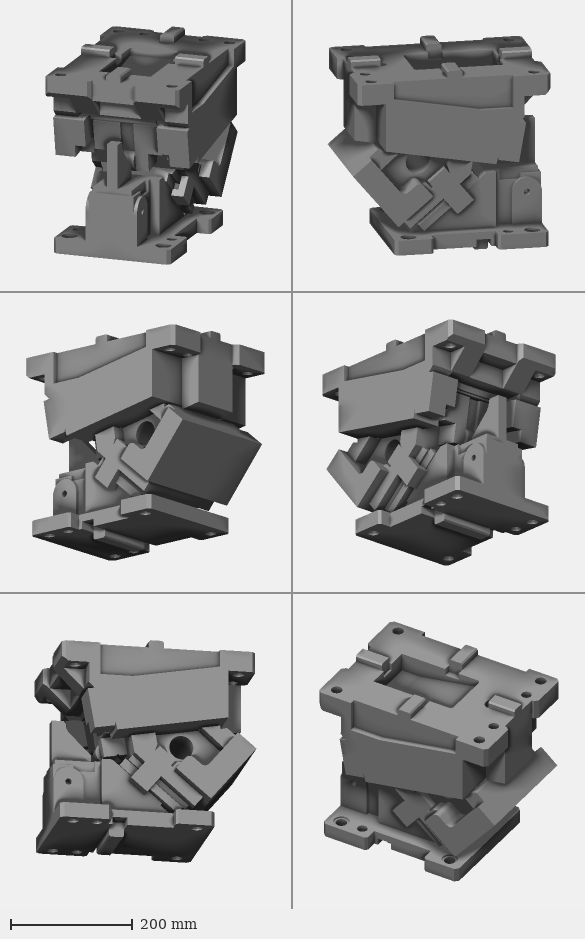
import cadquery as cq
import math


CHAMFER = 6.0
KEY_WIDTH = 25.0
KEY_SINK = KEY_WIDTH / 2
KEY_CHAMFER = 2.5
MOUNT_DIAMETER = 19.0
DOWEL_DIAMETER = 17.5

RAIL_ANGLE = math.radians(40)
RAIL_TOP_Y = 96.0
BLOCK_TOP = 119.0

PAD_ANGLE = math.radians(10)
PAD_BACK_Y = 278.0
PAD_BACK_Z = 183.5


def on_rail(u, v):
    """(y, z) of a point given along and off the rail seat."""
    y = RAIL_TOP_Y - u * math.cos(RAIL_ANGLE) + v * math.sin(RAIL_ANGLE)
    z = BLOCK_TOP + u * math.sin(RAIL_ANGLE) + v * math.cos(RAIL_ANGLE)
    return (y, z)


def on_pad(t, m):
    """(y, z) of a point given along and off the pad underside."""
    y = PAD_BACK_Y - t * math.cos(PAD_ANGLE) - m * math.sin(PAD_ANGLE)
    z = PAD_BACK_Z - t * math.sin(PAD_ANGLE) + m * math.cos(PAD_ANGLE)
    return (y, z)


def box(x_range, y_range, z_range):
    sizes = [high - low for low, high in (x_range, y_range, z_range)]
    return cq.Workplane("XY").box(*sizes, centered=False).translate((x_range[0], y_range[0], z_range[0]))


def side_prism(outline, half_width):
    """A (y, z) outline extruded to both sides of the middle plane."""
    return cq.Workplane("YZ").polyline(outline).close().extrude(half_width, both=True)


def side_pair(outline, inner, outer):
    """Two mirrored prisms of a (y, z) outline between two distances from the middle plane."""
    return side_prism(outline, outer).cut(side_prism(outline, inner))


def rail_box(u_range, v_range):
    """Corners of a rectangle in the rail frame."""
    (low_u, top_u), (low_v, top_v) = u_range, v_range
    return [on_rail(low_u, low_v), on_rail(top_u, low_v), on_rail(top_u, top_v), on_rail(low_u, top_v)]


def pad_box(t_range, m_range):
    """Corners of a rectangle in the pad frame."""
    (back_t, front_t), (low_m, top_m) = t_range, m_range
    return [on_pad(back_t, low_m), on_pad(front_t, low_m), on_pad(front_t, top_m), on_pad(back_t, top_m)]


def rail_bar(section, low_u, top_u):
    """An (x, v) section extruded along the rail."""
    y, z = on_rail(low_u, 0)
    uphill = (0, -math.cos(RAIL_ANGLE), math.sin(RAIL_ANGLE))
    plane = cq.Plane(origin=(0, y, z), xDir=(1, 0, 0), normal=uphill)
    return cq.Workplane(plane).polyline(section).close().extrude(top_u - low_u)


def upright_holes(points, diameter, z_range):
    floor = cq.Workplane("XY", origin=(0, 0, z_range[0]))
    return floor.pushPoints(points).circle(diameter / 2).extrude(z_range[1] - z_range[0])


BASE_HALF = 102.3
BASE_LENGTH = 259.0
BASE_THICK = 25.0
NOTCH_DEPTH = 24.0
NOTCH_Y = (85.2, 193.8)
NOTCH_CHAMFER = 4.0
BASE_HOLE_X = 82.3
BASE_HOLE_Y = (24.5, 232.3)
BASE_DOWEL_Y = 64.8
COUNTERBORE = 26.5
COUNTERBORE_DEPTH = 2.5
BASE_KEY_HALF = 49.7
BASE_KEY_Y = 91.8

BLOCK_HALF = 55.0
BLOCK_FRONT_Y = 79.3
NECK_HALF = 39.0
LEDGE_Z = 110.0
STEP_Z = 100.0
STEP_Y = (35.0, 69.8)
LUG_HALF = 45.0
LUG_RADIUS = 25.0
LUG_Z = 79.3
LUG_HOLE = 10.5
LUG_HOLE_DEPTH = 16.5
SEAT_HALF = 34.2
SEAT_FRONT_Y = 4.3
RIB_HALF = 9.2
RIB_TOP = 194.5
RIB_CREST_Y = 25.0
RIB_CREST_EDGE = (27.5, 190.0)
RIB_HOLLOW = (29.3, 181.5)
RIB_SLOPE_TOP = (33.2, 174.7)
RIB_SLOPE_LOW_Z = 139.2

RAIL_TOP_U = -15.0
RAIL_LOW_U = -139.5
RAIL_HALF = 57.2
RAIL_FLANGE_HALF = 67.5
RAIL_FLANGE_TOP_U = -55.0
RAIL_APEX = 30.3
RAIL_EAVE = 13.5
TOE_HEIGHT = 9.2
RELIEF_HEIGHT = 5.0
RELIEF_TOP_U = -110.0
RELIEF_HALF = 41.8


def base_plate():
    plate = box((-BASE_HALF, BASE_HALF), (0, BASE_LENGTH), (0, BASE_THICK))
    plate = plate.edges("|Z").chamfer(CHAMFER)
    for side in (-1, 1):
        edge = side * BASE_HALF
        inner = side * (BASE_HALF - NOTCH_DEPTH)
        lip = side * (BASE_HALF - NOTCH_CHAMFER)
        outline = [
            (edge, NOTCH_Y[0] - NOTCH_CHAMFER),
            (lip, NOTCH_Y[0]),
            (inner, NOTCH_Y[0]),
            (inner, NOTCH_Y[1]),
            (lip, NOTCH_Y[1]),
            (edge, NOTCH_Y[1] + NOTCH_CHAMFER),
        ]
        plate = plate.cut(cq.Workplane("XY").polyline(outline).close().extrude(BASE_THICK))
    mounts = [(side * BASE_HOLE_X, y) for side in (-1, 1) for y in BASE_HOLE_Y]
    dowels = [(side * BASE_HOLE_X, BASE_DOWEL_Y) for side in (-1, 1)]
    plate = plate.cut(upright_holes(mounts, MOUNT_DIAMETER, (0, BASE_THICK)))
    plate = plate.cut(upright_holes(mounts, COUNTERBORE, (BASE_THICK - COUNTERBORE_DEPTH, BASE_THICK)))
    return plate.cut(upright_holes(dowels, DOWEL_DIAMETER, (0, BASE_THICK)))


def base_key(plate):
    """Keyway across the underside with the key standing out of it."""
    key_y = (BASE_KEY_Y, BASE_KEY_Y + KEY_WIDTH)
    keyway = box((-BASE_HALF, BASE_HALF), key_y, (0, KEY_SINK))
    key = box((-BASE_KEY_HALF, BASE_KEY_HALF), key_y, (-KEY_SINK, KEY_SINK))
    key = key.faces("<Z").edges("|X").chamfer(KEY_CHAMFER)
    return plate.cut(keyway).union(key)


def front_neck():
    """Narrow front part with its ledges and the two round-topped lugs."""
    neck = box((-NECK_HALF, NECK_HALF), (0, BLOCK_FRONT_Y), (BASE_THICK, BLOCK_TOP))
    neck = neck.cut(box((-NECK_HALF, NECK_HALF), (0, SEAT_FRONT_Y), (LEDGE_Z, BLOCK_TOP)))
    for side in (-1, 1):
        span = tuple(sorted((side * SEAT_HALF, side * NECK_HALF)))
        neck = neck.cut(box(span, (0, STEP_Y[1]), (LEDGE_Z, BLOCK_TOP)))
        neck = neck.cut(box(span, STEP_Y, (STEP_Z, BLOCK_TOP)))
    lug = (
        cq.Workplane("YZ")
        .moveTo(0, BASE_THICK)
        .lineTo(0, LUG_Z)
        .threePointArc((LUG_RADIUS, LUG_Z + LUG_RADIUS), (2 * LUG_RADIUS, LUG_Z))
        .lineTo(2 * LUG_RADIUS, BASE_THICK)
        .close()
        .extrude(LUG_HALF, both=True)
    )
    neck = neck.union(lug)
    for side in (-1, 1):
        mouth = cq.Vector(side * LUG_HALF, LUG_RADIUS, LUG_Z)
        inward = cq.Vector(-side, 0, 0)
        bore = cq.Solid.makeCylinder(LUG_HOLE / 2, LUG_HOLE_DEPTH, mouth, inward)
        tip = cq.Solid.makeCone(LUG_HOLE / 2, 0, LUG_HOLE / 2, mouth + inward * LUG_HOLE_DEPTH, inward)
        neck = neck.cut(bore.fuse(tip))
    return neck


def driver_rib():
    """Central upright whose back edge guides the slide's roller."""
    return (
        cq.Workplane("YZ")
        .moveTo(SEAT_FRONT_Y, STEP_Z)
        .lineTo(SEAT_FRONT_Y, RIB_TOP)
        .lineTo(RIB_CREST_Y, RIB_TOP)
        .lineTo(*RIB_CREST_EDGE)
        .threePointArc(RIB_HOLLOW, RIB_SLOPE_TOP)
        .lineTo(STEP_Y[1], RIB_SLOPE_LOW_Z)
        .lineTo(STEP_Y[1], STEP_Z)
        .close()
        .extrude(RIB_HALF, both=True)
    )


def inclined_block():
    outline = [
        (BLOCK_FRONT_Y, BASE_THICK),
        (BLOCK_FRONT_Y, BLOCK_TOP),
        on_rail(0, 0),
        on_rail(RAIL_LOW_U, 0),
        on_rail(RAIL_LOW_U, TOE_HEIGHT),
    ]
    drop = outline[-1][1] - BASE_THICK
    outline.append((outline[-1][0] + drop / math.tan(RAIL_ANGLE), BASE_THICK))
    return side_prism(outline, BLOCK_HALF)


def ridge(half_width, low_u, top_u):
    """Roof-shaped bar standing on the rail seat; every width shares the same roof."""
    edge = RAIL_APEX - (RAIL_APEX - RAIL_EAVE) * half_width / RAIL_FLANGE_HALF
    outline = [(-half_width, 0), (half_width, 0), (half_width, edge), (0, RAIL_APEX), (-half_width, edge)]
    return rail_bar(outline, low_u, top_u)


def make_base():
    body = base_key(base_plate())
    body = body.union(inclined_block()).union(front_neck()).union(driver_rib())
    body = body.union(ridge(RAIL_HALF, RAIL_LOW_U, RAIL_TOP_U))
    body = body.union(ridge(RAIL_FLANGE_HALF, RAIL_LOW_U, RAIL_FLANGE_TOP_U))
    relief = rail_box((RAIL_LOW_U, RELIEF_TOP_U), (-RELIEF_HEIGHT, 0))
    return body.cut(side_pair(relief, RELIEF_HALF, BLOCK_HALF))


SLIDE_HALF = 81.3
SLIDE_GAP = 2.0
SLIDE_FRONT_T = 158.0
SLIDE_FRONT_M = -31.3
SLIDE_BACK_T = 6.5
SLIDE_BACK_U = -106.3
SLIDE_BACK_STEP = (272.5, 174.0)
SLIDE_UNDER_V = 24.0
SLIDE_LOW_U = -153.3
LIP_V = 16.0
LIP_LOW_U = -144.5
LIP_TOP_U = -20.5
LIP_HALF_TOP = 65.5
LIP_HALF_LOW = 61.2

FLANGE_HALF = 99.7
FLANGE_LOW_U = -165.8
FLANGE_TOP_V = 165.0
FLANGE_UNDER_V = 46.0
FLANGE_STEP_U = -125.0
FLANGE_END_U = -89.5
FLANGE_STEP_V = 80.3
FLANGE_FILLET = 10.0

RECESS_HALF = 57.5
RECESS_V = (50.5, 134.5)
RECESS_T = (39.5, 117.0)
RECESS_LOW_M = -21.7
RECESS_STEP_U = -83.2
RECESS_STEP_V = 61.2
RECESS_END_V = 68.5
CROSS_HOLE = 40.0
CROSS_HOLE_Y = 211.5
CROSS_HOLE_Z = 145.8

CLAMP_U = (-79.5, -44.0)
CLAMP_V = (-12.0, 63.2)
CLAMP_ARM_INNER = 69.5
CLAMP_FOOT_INNER = 59.5

CHANNEL_HALF = 63.5
CHANNEL_TOP_M = 65.8
TONGUE_HALF = 59.0
TONGUE_TOP_M = 63.0
NOSE_T = 197.7
NOSE_HALF = 34.0
NOSE_SHOULDER_M = 12.0
NOSE_UNDER_M = -20.5
NOSE_SLOT_HALF = 11.5
NOSE_SLOT_DEPTH = 6.5
ROLLER_T = 186.2
ROLLER_M = -6.5
ROLLER_RADIUS = 18.5
ROLLER_HALF = 10.5


def slide_block():
    outline = [
        on_rail(SLIDE_LOW_U, SLIDE_UNDER_V),
        on_rail(SLIDE_LOW_U, FLANGE_UNDER_V),
        on_rail(FLANGE_STEP_U, FLANGE_TOP_V),
        on_rail(SLIDE_BACK_U, FLANGE_TOP_V),
        SLIDE_BACK_STEP,
        on_pad(SLIDE_BACK_T, -SLIDE_GAP),
        on_pad(SLIDE_FRONT_T, -SLIDE_GAP),
        on_pad(SLIDE_FRONT_T, SLIDE_FRONT_M),
    ]
    return side_prism(outline, SLIDE_HALF)


def rail_skirt():
    """Tapered skirt that reaches down over the rail roof."""
    section = [
        (-LIP_HALF_LOW, LIP_V),
        (LIP_HALF_LOW, LIP_V),
        (LIP_HALF_TOP, SLIDE_UNDER_V),
        (LIP_HALF_TOP, RAIL_APEX),
        (-LIP_HALF_TOP, RAIL_APEX),
        (-LIP_HALF_TOP, SLIDE_UNDER_V),
    ]
    return rail_bar(section, LIP_LOW_U, LIP_TOP_U)


def side_flanges():
    outline = [
        on_rail(FLANGE_LOW_U, FLANGE_UNDER_V),
        on_rail(FLANGE_END_U, FLANGE_UNDER_V),
        on_rail(FLANGE_END_U, FLANGE_STEP_V),
        on_rail(FLANGE_STEP_U, FLANGE_STEP_V),
        on_rail(FLANGE_STEP_U, FLANGE_TOP_V),
        on_rail(FLANGE_LOW_U, FLANGE_TOP_V),
    ]
    flange = side_prism(outline, FLANGE_HALF)
    for u in (FLANGE_END_U, FLANGE_STEP_U):
        corner = (0, *on_rail(u, FLANGE_STEP_V))
        flange = flange.edges(cq.NearestToPointSelector(corner)).fillet(FLANGE_FILLET)
    return flange


def side_recesses():
    """Deep recess in each side around the cross hole."""
    outline = [
        on_rail(FLANGE_STEP_U, RECESS_V[1]),
        on_pad(RECESS_T[0], 0),
        on_pad(RECESS_T[1], 0),
        on_pad(RECESS_T[1], RECESS_LOW_M),
        on_rail(CLAMP_U[1], RECESS_V[0]),
        on_rail(RECESS_STEP_U, RECESS_V[0]),
        on_rail(RECESS_STEP_U, RECESS_STEP_V),
        on_rail(FLANGE_END_U, RECESS_END_V),
        on_rail(FLANGE_STEP_U, FLANGE_STEP_V),
    ]
    return side_pair(outline, RECESS_HALF, FLANGE_HALF)


def rail_clamps():
    """L-shaped clamps that hook under the rail flanges."""
    arms = side_pair(rail_box(CLAMP_U, CLAMP_V), CLAMP_ARM_INNER, SLIDE_HALF)
    feet = side_pair(rail_box(CLAMP_U, (CLAMP_V[0], 0)), CLAMP_FOOT_INNER, SLIDE_HALF)
    return arms.union(feet)


def tongue():
    """Central bar that fills the pad channel, with a slotted nose and its roller."""
    bar = side_prism(pad_box((SLIDE_BACK_T, SLIDE_FRONT_T), (-SLIDE_GAP, CHANNEL_TOP_M)), CHANNEL_HALF)
    head = side_prism(pad_box((SLIDE_FRONT_T, NOSE_T), (NOSE_SHOULDER_M, TONGUE_TOP_M)), TONGUE_HALF)
    stem = side_prism(pad_box((SLIDE_FRONT_T, NOSE_T), (NOSE_UNDER_M, NOSE_SHOULDER_M)), NOSE_HALF)
    slot_t = (NOSE_T - NOSE_SLOT_DEPTH, NOSE_T)
    slot = side_prism(pad_box(slot_t, (NOSE_UNDER_M, TONGUE_TOP_M)), NOSE_SLOT_HALF)
    roller = (
        cq.Workplane("YZ")
        .center(*on_pad(ROLLER_T, ROLLER_M))
        .circle(ROLLER_RADIUS)
        .extrude(ROLLER_HALF, both=True)
    )
    return bar.union(head).union(stem).cut(slot).union(roller)


def make_slide():
    body = slide_block().union(rail_skirt()).union(tongue())
    body = body.cut(side_recesses()).union(side_flanges())
    body = body.cut(ridge(RAIL_FLANGE_HALF, FLANGE_LOW_U, 0))
    body = body.union(rail_clamps())
    hole = (
        cq.Workplane("YZ")
        .center(CROSS_HOLE_Y, CROSS_HOLE_Z)
        .circle(CROSS_HOLE / 2)
        .extrude(FLANGE_HALF, both=True)
    )
    return body.cut(hole)


PAD_HALF = 117.5
PAD_LENGTH = 324.0
PAD_TOP = 299.0
PLATE_UNDER = 264.2
CHIN_Z = 273.7
END_RECESS = 10.0
ARM_GAP = 2.5
ARM_T = (189.0, 226.0)
ARM_M = (7.5, 75.5)
ARM_SHELF_T = 214.2
ARM_NOTCH_HALF = 82.5
ARM_NOTCH_TOP_M = 28.3
ARM_SLIT = (189.5, 16.0)
THROAT_BACK_Y = 72.5
THROAT_LOW_HALF = 79.5
THROAT_TOP_HALF = 72.7
THROAT_LOW_Z = 221.0
WEAR_STRIP_HALF = 53.5
WEAR_STRIP_T = (187.5, 202.5)
WEAR_STRIP_M = (69.0, 79.0)

LEG_HALF = 42.8
LEG_FRONT_Y = 281.0
LEG_BACK_Y = PAD_LENGTH - END_RECESS
CHANNEL_BACK_T = 4.0

POCKET_BACK_Y = 44.7
POCKET_LOW_Z = 231.0
CORNER_POCKET_INNER = 77.3
FRONT_RECESS_HALF = 36.5

SIDE_RECESS = 10.2
SIDE_RECESS_Y = (63.8, 264.2)
SIDE_RECESS_LOW = 244.8
SIDE_RECESS_FLAT_Y = 118.5

TOP_POCKET_HALF = 45.5
TOP_POCKET_Y = (63.8, 214.2)
TOP_POCKET_FLAT_Y = 97.5
TOP_POCKET_LOW = 266.0

PAD_HOLE_X = 97.5
PAD_HOLE_Y = (24.7, 298.5)
PAD_DOWEL_X = 52.0
KEY_LENGTH = 50.0
CROSS_KEY_Y = 146.7
CROSS_KEY_OUTER = PAD_HALF - SIDE_RECESS
REAR_KEYWAY_Y = 251.7


def falling_floor(low_z, flat_y, y_range):
    """(y, z) outline above a floor that is flat in front and climbs backwards at the pad angle."""
    rise = (y_range[1] - flat_y) * math.tan(PAD_ANGLE)
    return [
        (y_range[0], low_z),
        (flat_y, low_z),
        (y_range[1], low_z + rise),
        (y_range[1], PAD_TOP),
        (y_range[0], PAD_TOP),
    ]


def pad_block():
    outline = [
        on_pad(0, 0),
        on_pad(ARM_T[0], 0),
        on_pad(*ARM_SLIT),
        on_pad(ARM_T[0] + ARM_GAP, ARM_M[0]),
        on_pad(ARM_T[1], ARM_M[0]),
        on_pad(ARM_T[1], ARM_M[1]),
        on_pad(ARM_SHELF_T, ARM_M[1]),
        (0, CHIN_Z),
        (0, PAD_TOP),
        (PAD_LENGTH, PAD_TOP),
        (PAD_LENGTH, PLATE_UNDER),
        (PAD_BACK_Y, PLATE_UNDER),
    ]
    return side_prism(outline, PAD_HALF)


def plan_trim(block):
    """Chamfered plan corners and the recesses in the front and back edges."""
    rows = ((0, 1, FRONT_RECESS_HALF), (PAD_LENGTH, -1, LEG_HALF))
    for y, inward, half in rows:
        for side in (-1, 1):
            corner = [
                (side * PAD_HALF, y),
                (side * (PAD_HALF - CHAMFER), y),
                (side * PAD_HALF, y + inward * CHAMFER),
            ]
            block = block.cut(cq.Workplane("XY").polyline(corner).close().extrude(PAD_TOP))
        recess = [
            (-half - CHAMFER, y),
            (-half, y + inward * CHAMFER),
            (-half, y + inward * END_RECESS),
            (half, y + inward * END_RECESS),
            (half, y + inward * CHAMFER),
            (half + CHAMFER, y),
        ]
        block = block.cut(cq.Workplane("XY").polyline(recess).close().extrude(PAD_TOP))
    return block


def rear_leg():
    drop = (LEG_BACK_Y - LEG_FRONT_Y) * math.tan(PAD_ANGLE)
    outline = [
        (PAD_BACK_Y, PAD_BACK_Z),
        (LEG_FRONT_Y, PAD_BACK_Z - drop),
        (LEG_BACK_Y, PAD_BACK_Z),
        (LEG_BACK_Y, PLATE_UNDER),
        (PAD_BACK_Y, PLATE_UNDER),
    ]
    return side_prism(outline, LEG_HALF)


def cut_front_pockets(block):
    """Pockets under the plate, leaving two sloping ribs at the front."""
    spans = (
        (-PAD_HALF, -CORNER_POCKET_INNER),
        (-FRONT_RECESS_HALF, FRONT_RECESS_HALF),
        (CORNER_POCKET_INNER, PAD_HALF),
    )
    for span in spans:
        block = block.cut(box(span, (0, POCKET_BACK_Y), (POCKET_LOW_Z, PLATE_UNDER)))
    return block


def cut_channel(block):
    """Channel for the slide's tongue, and the notches at the inner foot of the arms."""
    block = block.cut(side_prism(pad_box((CHANNEL_BACK_T, ARM_T[1]), (0, CHANNEL_TOP_M)), CHANNEL_HALF))
    notch = side_prism(pad_box(ARM_T, (0, ARM_NOTCH_TOP_M)), ARM_NOTCH_HALF)
    return block.cut(notch)


def open_throat(block):
    """Clear the space between the arms up to the plate, leaving the end of the wear strip."""
    arm_gap = box((-CHANNEL_HALF, CHANNEL_HALF), (0, THROAT_BACK_Y), (0, POCKET_LOW_Z))
    outline = [
        (-THROAT_LOW_HALF, THROAT_LOW_Z),
        (THROAT_LOW_HALF, THROAT_LOW_Z),
        (THROAT_TOP_HALF, POCKET_LOW_Z),
        (-THROAT_TOP_HALF, POCKET_LOW_Z),
    ]
    mouth = cq.Workplane("XZ").polyline(outline).close().extrude(-THROAT_BACK_Y)
    strip = side_prism(pad_box(WEAR_STRIP_T, WEAR_STRIP_M), WEAR_STRIP_HALF)
    return block.cut(arm_gap).cut(mouth).union(strip)


def cut_recesses(block):
    """Long recess in each side and the pocket in the top."""
    side_outline = falling_floor(SIDE_RECESS_LOW, SIDE_RECESS_FLAT_Y, SIDE_RECESS_Y)
    side = side_pair(side_outline, PAD_HALF - SIDE_RECESS, PAD_HALF)
    pocket_outline = falling_floor(TOP_POCKET_LOW, TOP_POCKET_FLAT_Y, TOP_POCKET_Y)
    pocket = side_prism(pocket_outline, TOP_POCKET_HALF)
    pocket = pocket.faces(">Y").edges("|Z").fillet(CHAMFER)
    return block.cut(side).cut(pocket)


def key_and_way(block, x_range, y_range, way_x, way_y, length_axis):
    """Cut one keyway in the top and set its key in it."""
    way_z = (PAD_TOP - KEY_SINK, PAD_TOP)
    key = box(x_range, y_range, (PAD_TOP - KEY_SINK, PAD_TOP + KEY_SINK))
    key = key.faces(">Z").edges("|" + length_axis).chamfer(KEY_CHAMFER)
    return block.cut(box(way_x, way_y, way_z)).union(key)


def add_keys(block):
    half = KEY_WIDTH / 2
    middle = (-half, half)
    front_y = (END_RECESS, END_RECESS + KEY_LENGTH)
    block = key_and_way(block, middle, front_y, middle, (END_RECESS, TOP_POCKET_Y[0]), "Y")
    rear_y = (LEG_BACK_Y - KEY_LENGTH, LEG_BACK_Y)
    way_y = (REAR_KEYWAY_Y + half, LEG_BACK_Y)
    round_end = cq.Workplane("XY", origin=(0, way_y[0], PAD_TOP - KEY_SINK)).circle(half).extrude(KEY_SINK)
    block = key_and_way(block.cut(round_end), middle, rear_y, middle, way_y, "Y")
    cross_y = (CROSS_KEY_Y, CROSS_KEY_Y + KEY_WIDTH)
    for side in (-1, 1):
        key_x = sorted((side * CROSS_KEY_OUTER, side * (CROSS_KEY_OUTER - KEY_LENGTH)))
        way_x = sorted((side * CROSS_KEY_OUTER, side * TOP_POCKET_HALF))
        block = key_and_way(block, key_x, cross_y, way_x, cross_y, "X")
    return block


def make_pad():
    body = cut_front_pockets(plan_trim(pad_block())).union(rear_leg())
    body = add_keys(cut_recesses(open_throat(cut_channel(body))))
    mounts = [(side * PAD_HOLE_X, y) for side in (-1, 1) for y in PAD_HOLE_Y]
    dowels = [(side * PAD_DOWEL_X, PAD_HOLE_Y[1]) for side in (-1, 1)]
    body = body.cut(upright_holes(mounts, MOUNT_DIAMETER, (POCKET_LOW_Z, PAD_TOP)))
    return body.cut(upright_holes(dowels, DOWEL_DIAMETER, (PLATE_UNDER, PAD_TOP)))


base = make_base()
slide = make_slide()
pad = make_pad()
result = cq.Compound.makeCompound([base.solids().val(), slide.solids().val(), pad.solids().val()])